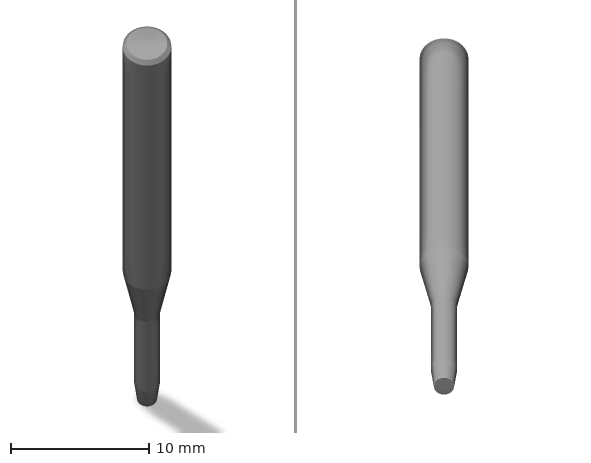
import cadquery as cq

total_length = 42.9
tip_taper_top = 2.05
joint_height = 9.5
shank_taper_bottom = 10.5
shank_taper_top = 15.5

shank_diameter = 3.5
stem_diameter = 1.9
tip_end_diameter = 1.45

top_chamfer = 0.3


def make_shank():
    """Round shank that tapers to a short cylindrical neck above the joint."""
    shank_radius = shank_diameter / 2
    neck_radius = stem_diameter / 2
    return (
        cq.Workplane("XZ")
        .moveTo(0, joint_height)
        .lineTo(neck_radius, joint_height)
        .lineTo(neck_radius, shank_taper_bottom)
        .lineTo(shank_radius, shank_taper_top)
        .lineTo(shank_radius, total_length - top_chamfer)
        .lineTo(shank_radius - top_chamfer, total_length)
        .lineTo(0, total_length)
        .close()
        .revolve(360, (0, 0), (0, 1))
    )


def make_tip():
    """Slender cylindrical tip with a tapered free end, butted against the shank."""
    tip_radius = stem_diameter / 2
    return (
        cq.Workplane("XZ")
        .lineTo(tip_end_diameter / 2, 0)
        .lineTo(tip_radius, tip_taper_top)
        .lineTo(tip_radius, joint_height)
        .lineTo(0, joint_height)
        .close()
        .revolve(360, (0, 0), (0, 1))
    )


shank = make_shank()
tip = make_tip()

result = cq.Compound.makeCompound([shank.val(), tip.val()])